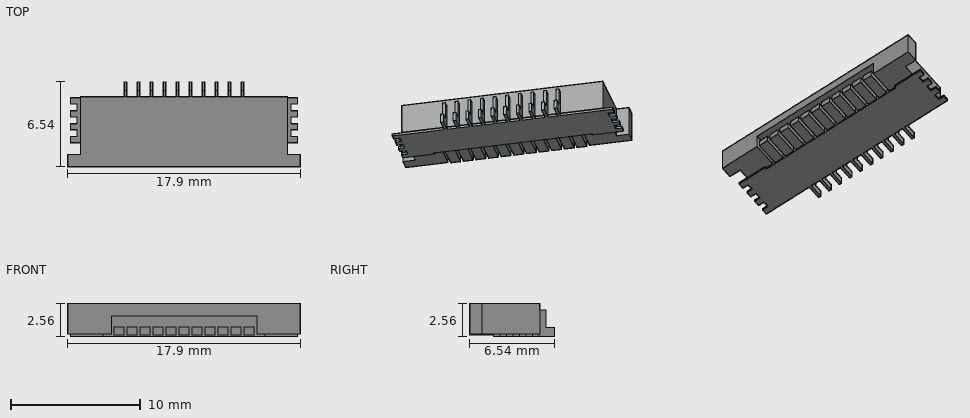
import cadquery as cq


total_length = 17.92
total_depth = 6.54
total_height = 2.56

housing_bottom = 0.18
flange_depth = 0.97
body_length = 15.94
body_rear = 5.41

slot_width = 11.2
slot_top = 1.59
slot_depth = 2.0

pitch = 1.0
contact_count = 10
contact_width = 0.22
contact_foot_top = 0.71
contact_riser_top = 2.06
contact_riser_rear = 5.89
block_count = contact_count + 1
block_width = pitch - contact_width
block_bottom = 0.12
block_top = 0.72

tab_inner_x = 6.25
tab_root_x = 8.25
tab_tip_x = 8.74
tab_front = 1.84
tooth_count = 4
tooth_width = 0.5
tooth_pitch = 1.0
tab_rear = tab_front + (tooth_count - 1) * tooth_pitch + tooth_width


def box(x_range, y_range, z_range):
    """Box spanning the given (low, high) range along each axis."""
    spans = (x_range, y_range, z_range)
    size = [high - low for low, high in spans]
    corner = tuple(low for low, high in spans)
    return cq.Workplane("XY").box(*size, centered=False).translate(corner)


def centred(width, middle=0):
    """Range of the given width about a middle position."""
    return (middle - width / 2, middle + width / 2)


def row_positions(count):
    """X positions of a row at the contact pitch, centred on X = 0."""
    return [(i - (count - 1) / 2) * pitch for i in range(count)]


def make_housing():
    """Body with a wider front flange, hollowed by the cable slot."""
    height = (housing_bottom, total_height)
    flange = box(centred(total_length), (0, flange_depth), height)
    body = box(centred(body_length), (0, body_rear), height)
    slot = box(centred(slot_width), (0, slot_depth), (housing_bottom, slot_top))
    return flange.union(body).cut(slot)


def make_base():
    """Pad under the housing, from the back of the slot to the rear of the tabs."""
    return box(centred(2 * tab_inner_x), (slot_depth, tab_rear), (0, housing_bottom))


def make_block(x):
    """Comb block standing in the slot, flush with the front face."""
    return box(centred(block_width, x), (0, slot_depth), (block_bottom, block_top))


def make_contact(x):
    """L-shaped contact tail behind the housing: a tall riser and a low foot."""
    return (
        cq.Workplane("YZ")
        .moveTo(tab_rear, 0)
        .lineTo(total_depth, 0)
        .lineTo(total_depth, contact_foot_top)
        .lineTo(contact_riser_rear, contact_foot_top)
        .lineTo(contact_riser_rear, contact_riser_top)
        .lineTo(tab_rear, contact_riser_top)
        .close()
        .extrude(contact_width / 2, both=True)
        .translate((x, 0, 0))
    )


def make_tab():
    """Solder tab at the +X end: a flat strip with teeth pointing outwards."""
    thickness = (0, housing_bottom)
    tab = box((tab_inner_x, tab_root_x), (tab_front, tab_rear), thickness)
    for i in range(tooth_count):
        tooth_front = tab_front + i * tooth_pitch
        tooth_y = (tooth_front, tooth_front + tooth_width)
        tab = tab.union(box((tab_inner_x, tab_tip_x), tooth_y, thickness))
    return tab


connector = make_housing().union(make_base())
for block_x in row_positions(block_count):
    connector = connector.union(make_block(block_x))
for contact_x in row_positions(contact_count):
    connector = connector.union(make_contact(contact_x))
end_tab = make_tab()
result = connector.union(end_tab).union(end_tab.mirror("YZ")).clean()